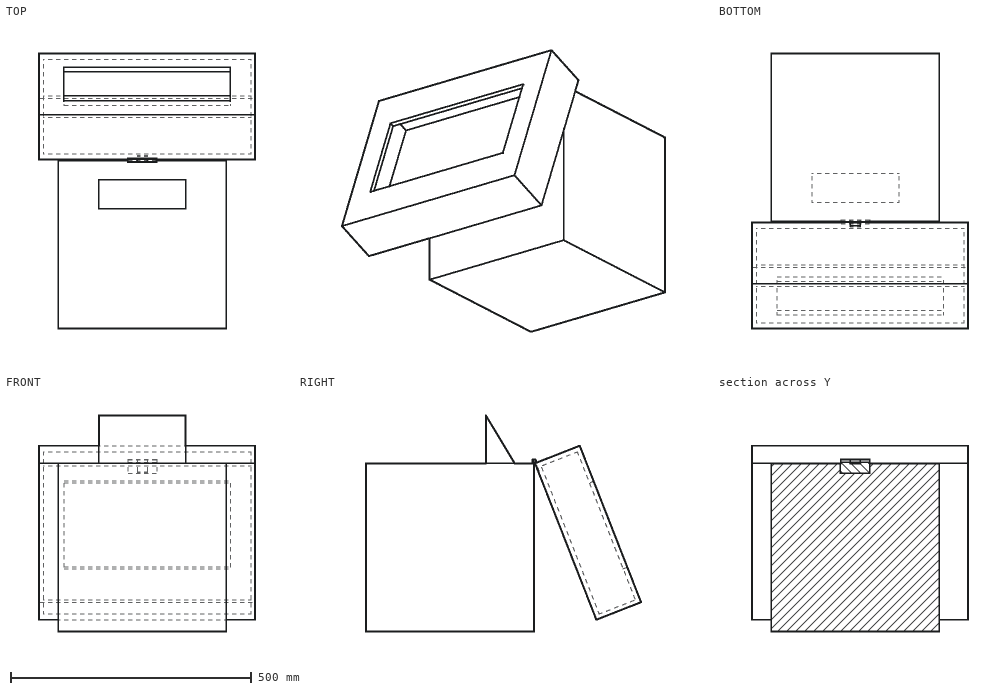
import cadquery as cq

box_size = 350.0

wedge_width = 180.5
wedge_depth = 60.0
wedge_height = 100.0
wedge_setback = 40.0

lid_width = 450.0
lid_thickness = 100.0
lid_length = box_size
lid_wall = 10.0
lid_left_overhang = 40.0
lid_tilt = 21.4
lid_gap = 2.0
lid_edge_rise = 0.5

slot_width = 346.0
slot_length = 192.0

knuckle_length = 20.0
barrel_radius = 4.0
bore_radius = 3.0
barrel_y = 0.0
barrel_rise = 5.0
leaf_thickness = 2.0
leaf_height = 20.0
lid_leaf_reach = 3.0

knuckle_count = 3
hinge_width = knuckle_count * knuckle_length
hinge_left = (box_size - hinge_width) / 2
hinge_center = box_size / 2
barrel_z = box_size + barrel_rise
lid_center = lid_width / 2 - lid_left_overhang


def block(center_x, front, bottom, width, depth, height):
    """Block centred on center_x, reaching back from front and up from bottom."""
    return (
        cq.Workplane("XY", origin=(center_x, front, bottom))
        .box(width, depth, height, centered=(True, False, False))
    )


def swing_open(shape):
    """Move a shape from the upright lid frame, hinged edge at the origin, to the open position."""
    tilted = shape.rotate((0, 0, 0), (1, 0, 0), lid_tilt)
    return tilted.translate((0, lid_gap, box_size + lid_edge_rise))


def rod(left, length, radius):
    """Cylinder on the hinge axis."""
    return (
        cq.Workplane("YZ", origin=(left, barrel_y, barrel_z))
        .circle(radius)
        .extrude(length)
    )


def knuckle(index):
    """Solid barrel section, counted from the left; the bore is cut once it is on its leaf."""
    return rod(hinge_left + index * knuckle_length, knuckle_length, barrel_radius)


def make_box():
    body = block(box_size / 2, -box_size, 0, box_size, box_size, box_size)
    leaf_recess = block(
        hinge_center, -leaf_thickness, box_size - leaf_height, hinge_width, leaf_thickness, leaf_height
    )
    return body.cut(leaf_recess)


def make_wedge():
    back = -wedge_setback
    front = back - wedge_depth
    profile = [(back, box_size), (front, box_size), (front, box_size + wedge_height)]
    return (
        cq.Workplane("YZ", origin=((box_size - wedge_width) / 2, 0, 0))
        .polyline(profile)
        .close()
        .extrude(wedge_width)
    )


def make_lid():
    shell = block(lid_center, 0, -lid_length, lid_width, lid_thickness, lid_length)
    cavity = block(
        lid_center,
        lid_wall,
        lid_wall - lid_length,
        lid_width - 2 * lid_wall,
        lid_thickness - 2 * lid_wall,
        lid_length - 2 * lid_wall,
    )
    slot = block(
        lid_center,
        lid_thickness - lid_wall,
        -(lid_length + slot_length) / 2,
        slot_width,
        lid_wall,
        slot_length,
    )
    leaf_recess = block(hinge_center, 0, -leaf_height, knuckle_length, leaf_thickness, leaf_height)
    return swing_open(shell.cut(cavity).cut(slot).cut(leaf_recess))


def make_box_leaf():
    """Plate sunk in the back of the box, carrying the two end knuckles."""
    leaf = block(
        hinge_center, -leaf_thickness, box_size - leaf_height, hinge_width, leaf_thickness, leaf_height
    )
    for index in (0, knuckle_count - 1):
        center_x = hinge_left + (index + 0.5) * knuckle_length
        neck = block(center_x, -leaf_thickness, box_size, knuckle_length, leaf_thickness, barrel_rise)
        leaf = leaf.union(neck).union(knuckle(index))
    return leaf.cut(rod(hinge_left, hinge_width, bore_radius))


def make_lid_leaf():
    """Plate sunk in the inner face of the lid, carrying the middle knuckle."""
    plate = block(
        hinge_center, 0, -leaf_height, knuckle_length, leaf_thickness, leaf_height + lid_leaf_reach
    )
    leaf = swing_open(plate).union(knuckle(1))
    return leaf.cut(rod(hinge_left, hinge_width, bore_radius))


box = make_box()
wedge = make_wedge()
lid = make_lid()
box_leaf = make_box_leaf()
lid_leaf = make_lid_leaf()

result = cq.Compound.makeCompound(
    [box.val(), wedge.val(), lid.val(), box_leaf.val(), lid_leaf.val()]
)